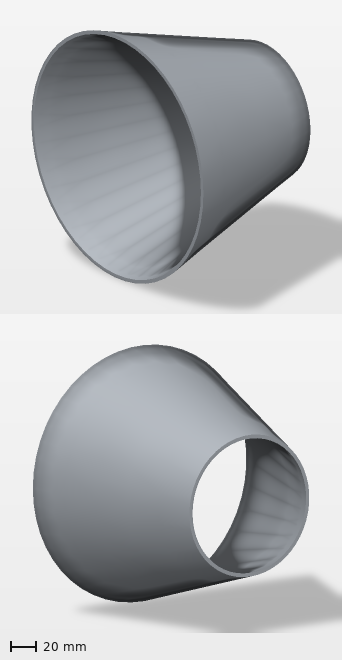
import cadquery as cq

large_diameter = 206.0
small_diameter = 114.0
wall = 3.0
length = 152.0


def cone_wall():
    """Revolve the slanted wall section about the Y axis, large end at Y = 0."""
    large_radius = large_diameter / 2
    small_radius = small_diameter / 2
    section = (
        cq.Workplane("XY")
        .moveTo(large_radius - wall, 0)
        .lineTo(large_radius, 0)
        .lineTo(small_radius, length)
        .lineTo(small_radius - wall, length)
        .close()
    )
    return section.revolve(360, (0, 0, 0), (0, 1, 0))


result = cone_wall()